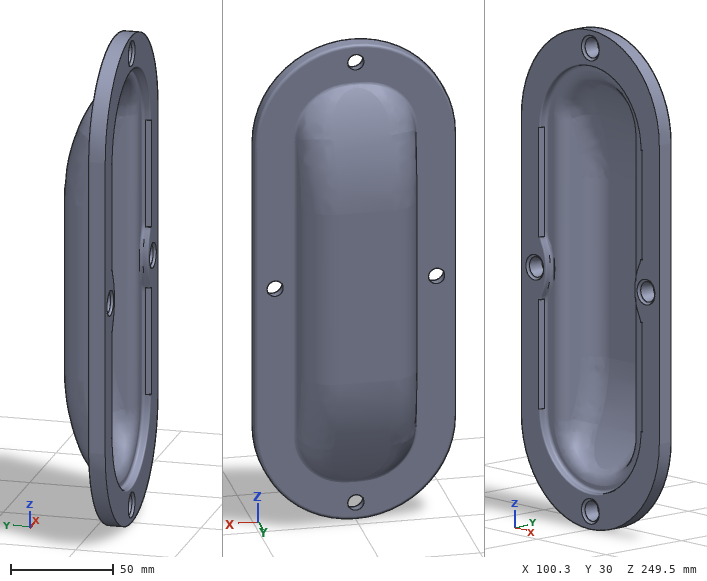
import cadquery as cq
import math

LENGTH = 249.5
WIDTH = 100.3
DEPTH = 30.0
FLANGE_THICKNESS = 8.7
FLANGE_EDGE_ROUND = 1.5

WALL = 5.0
BOWL_HALF_WIDTH = 30.0
BOWL_DRAFT = 8.0
BOWL_ROUND = 15.7
BOWL_ROOT_ROUND = 1.5
BOWL_END_EXTENSION = 3.0
FLOOR_HALF_LENGTH = 44.6
FLOOR_END_RADIUS = 95.5
MOUTH_ROUND = 6.2

RECESS_DEPTH = 4.2
RECESS_HALF_WIDTH = 36.5
RECESS_ARC_CENTRE = 70.3
RECESS_FOOT_ROUND = 1.5
RECESS_RIM_ROUND = 0.7
RECESS_SIDE_LEAN = 1.2

PAD_RADIUS = 27.7
PAD_CENTRE = 59.5
PAD_CORNER_ROUND = 10.0

SIDE_HOLE_X = 40.5
END_HOLE_Z = 115.7
HOLE_DIAMETER = 10.2
HOLE_MOUTH_DIAMETER = 12.7
HOLE_BACK_DIAMETER = 8.0

END_CENTRE = (LENGTH - WIDTH) / 2
DRAFT_SLOPE = math.tan(math.radians(BOWL_DRAFT))
DRAFT_COSINE = math.cos(math.radians(BOWL_DRAFT))
TOLERANCE = 0.02


def facing_back(y):
    """Sketch plane at depth y whose extrusions run towards +Y."""
    return cq.Workplane(cq.Plane(origin=(0, y, 0), xDir=(1, 0, 0), normal=(0, 1, 0)))


def upright_slot(y, half_width, arc_centre):
    """Round-ended upright outline at depth y."""
    return facing_back(y).slot2D(2 * (arc_centre + half_width), 2 * half_width, 90)


def round_front_opening(body, radius):
    """Round the rim of the opening in the front face of a body."""
    loops = body.faces("<Y").wires().vals()
    opening = min(loops, key=lambda loop: loop.BoundingBox().zlen)
    return body.newObject(opening.Edges()).fillet(radius)


def is_floor_rim(edge):
    """True for the sharp edges between the bowl floor and its side walls."""
    touches_front = edge.BoundingBox().ymin < TOLERANCE
    crosses_floor = edge.geomType() == "LINE" and abs(edge.Center().x) < TOLERANCE
    return not touches_front and not crosses_floor


def bowl(inset, arc_centre):
    """Solid drafted bowl from the front plane to its floor, shrunk by inset on every face."""
    half_width = BOWL_HALF_WIDTH - inset / DRAFT_COSINE + FLANGE_THICKNESS * DRAFT_SLOPE
    walls = upright_slot(0, half_width, arc_centre).extrude(DEPTH, taper=BOWL_DRAFT)

    back = DEPTH - inset
    radius = FLOOR_END_RADIUS - inset
    arc_y = back - radius
    sweep = math.acos(-arc_y / radius)
    end_z = FLOOR_HALF_LENGTH + radius * math.sin(sweep)
    middle_z = FLOOR_HALF_LENGTH + radius * math.sin(sweep / 2)
    middle_y = arc_y + radius * math.cos(sweep / 2)
    side_profile = (
        cq.Workplane("YZ")
        .moveTo(0, -end_z)
        .threePointArc((middle_y, -middle_z), (back, -FLOOR_HALF_LENGTH))
        .lineTo(back, FLOOR_HALF_LENGTH)
        .threePointArc((middle_y, middle_z), (0, end_z))
        .close()
        .extrude(WIDTH / 2, both=True)
    )
    sharp = walls.intersect(side_profile)
    rim = [edge for edge in sharp.edges().vals() if is_floor_rim(edge)]
    return sharp.newObject(rim).fillet(BOWL_ROUND - inset)


def is_bowl_root(edge):
    """True for the edges where the bowl outside meets the flat back of the flange."""
    box = edge.BoundingBox()
    on_flange_back = abs(box.ymin - FLANGE_THICKNESS) < TOLERANCE and box.ylen < TOLERANCE
    flange_flat_half_width = WIDTH / 2 - FLANGE_EDGE_ROUND
    inside_flange_edge = max(box.xmax, -box.xmin) < flange_flat_half_width - TOLERANCE
    inside_flange_end = max(box.zmax, -box.zmin) < END_CENTRE + flange_flat_half_width - TOLERANCE
    return on_flange_back and inside_flange_edge and inside_flange_end


def backing():
    """Flange behind the recess, with the hollow bowl and its rounded mouth."""
    plate = upright_slot(RECESS_DEPTH, WIDTH / 2, END_CENTRE).extrude(FLANGE_THICKNESS - RECESS_DEPTH)
    plate = plate.faces(">Y").edges().fillet(FLANGE_EDGE_ROUND)

    behind_recess = facing_back(RECESS_DEPTH).rect(WIDTH, LENGTH).extrude(DEPTH)
    bowl_outside = bowl(0, END_CENTRE + BOWL_END_EXTENSION).intersect(behind_recess)
    body = plate.union(bowl_outside)
    root = [edge for edge in body.edges().vals() if is_bowl_root(edge)]
    body = body.newObject(root).fillet(BOWL_ROOT_ROUND)

    body = body.cut(bowl(WALL, END_CENTRE))
    return round_front_opening(body, MOUTH_ROUND)


def recess():
    """Volume of the recess, narrowed by the side pads, with its rounded foot."""
    volume = upright_slot(0, RECESS_HALF_WIDTH, RECESS_ARC_CENTRE).extrude(RECESS_DEPTH)
    pads = facing_back(0).pushPoints([(-PAD_CENTRE, 0), (PAD_CENTRE, 0)]).circle(PAD_RADIUS)
    volume = volume.cut(pads.extrude(RECESS_DEPTH))
    corners = [edge for edge in volume.edges("|Y").vals() if TOLERANCE < abs(edge.Center().z) < PAD_RADIUS]
    volume = volume.newObject(corners).fillet(PAD_CORNER_ROUND)
    return volume.faces(">Y").edges().fillet(RECESS_FOOT_ROUND)


def side_lean():
    """Cutter that leans one straight stretch (+X, +Z) of the recess wall outwards."""
    rim_x = RECESS_HALF_WIDTH + RECESS_SIDE_LEAN
    inner_x = RECESS_HALF_WIDTH - RECESS_FOOT_ROUND
    foot_y = RECESS_DEPTH - RECESS_FOOT_ROUND

    pad_rim_radius = PAD_RADIUS - RECESS_RIM_ROUND
    start_z = math.sqrt(pad_rim_radius**2 - (PAD_CENTRE - rim_x) ** 2)
    return (
        cq.Workplane("XY", origin=(0, 0, start_z))
        .moveTo(inner_x, 0)
        .lineTo(rim_x, 0)
        .lineTo(RECESS_HALF_WIDTH, foot_y)
        .lineTo(inner_x, foot_y)
        .close()
        .extrude(RECESS_ARC_CENTRE - start_z)
    )


def recess_surround():
    """Front layer of the flange, surrounding the recess."""
    layer = upright_slot(0, WIDTH / 2, END_CENTRE).extrude(RECESS_DEPTH).cut(recess())
    layer = round_front_opening(layer, RECESS_RIM_ROUND)
    upper_right = side_lean()
    upper_left = upper_right.mirror("YZ")
    for cutter in (upper_right, upper_left):
        layer = layer.cut(cutter).cut(cutter.mirror("XY"))
    return layer


def screw_hole(x, z):
    """Tapered through hole with a rounded mouth."""
    mouth_round = (HOLE_MOUTH_DIAMETER - HOLE_DIAMETER) / 2
    half_section = (
        cq.Workplane("XY")
        .lineTo(HOLE_MOUTH_DIAMETER / 2, 0)
        .radiusArc((HOLE_DIAMETER / 2, mouth_round), -mouth_round)
        .lineTo(HOLE_BACK_DIAMETER / 2, FLANGE_THICKNESS)
        .lineTo(0, FLANGE_THICKNESS)
        .close()
    )
    return half_section.revolve(360, (0, 0, 0), (0, 1, 0)).translate((x, 0, z))


result = backing().union(recess_surround())
for side in (-1, 1):
    result = result.cut(screw_hole(side * SIDE_HOLE_X, 0))
    result = result.cut(screw_hole(0, side * END_HOLE_Z))